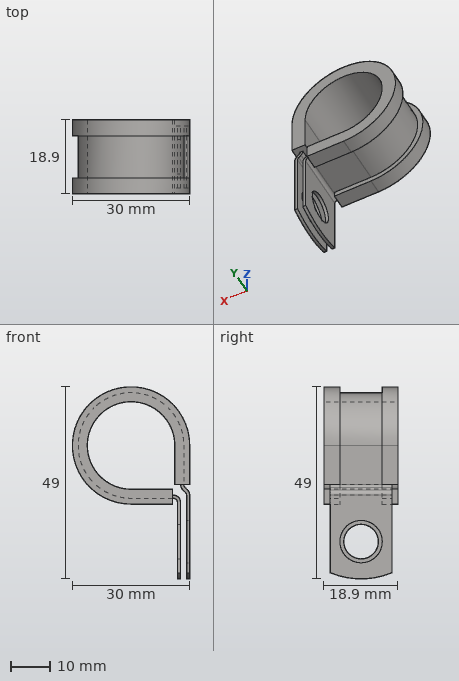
import cadquery as cq
import math


outer_radius = 14.98
inner_radius = 11.13
cushion_width = 18.92
side_end_z = -10.0
bottom_end_x = 10.6

groove_width = 10.72
strap_outer_radius = 13.48

strap_thickness = 0.85
strap_inner_radius = strap_outer_radius - strap_thickness
tab_width = 15.8
tab_tip_z = -34.04
tab_tip_rise = 1.6
inner_hole_diameter = 8.75
outer_hole_diameter = 10.8
hole_z = -24.5

bend_inner_radius = 1.0
bend_outer_radius = bend_inner_radius + strap_thickness
joggle_angle = math.radians(45)
inner_tab_outer_x = 12.63
outer_tab_outer_x = outer_radius


def extrude_along_y(profile, width):
    """Extrude an XZ profile by the given width, centred on Y = 0."""
    return profile.extrude(width / 2, both=True)


def loop_band(large_radius, small_radius, width):
    """Three-quarter ring with a vertical leg at +X and a horizontal leg at the bottom."""
    diagonal = math.sqrt(0.5)
    profile = (
        cq.Workplane("XZ")
        .moveTo(large_radius, side_end_z)
        .lineTo(large_radius, 0)
        .threePointArc((-large_radius * diagonal, large_radius * diagonal), (0, -large_radius))
        .lineTo(bottom_end_x, -large_radius)
        .lineTo(bottom_end_x, -small_radius)
        .lineTo(0, -small_radius)
        .threePointArc((-small_radius * diagonal, small_radius * diagonal), (small_radius, 0))
        .lineTo(small_radius, side_end_z)
        .close()
    )
    return extrude_along_y(profile, width)


def arc_point(center, radius, angle):
    """Point on a circle in the XZ plane, with the angle measured from +X towards +Z."""
    return (center[0] + radius * math.cos(angle), center[1] + radius * math.sin(angle))


def inner_tab():
    """Tab that turns down from the horizontal leg through a right-angle bend."""
    inner_x = inner_tab_outer_x - strap_thickness
    center = (inner_tab_outer_x - bend_outer_radius, -strap_inner_radius - bend_outer_radius)
    middle = math.radians(45)
    profile = (
        cq.Workplane("XZ")
        .moveTo(bottom_end_x, -strap_inner_radius)
        .lineTo(center[0], -strap_inner_radius)
        .threePointArc(arc_point(center, bend_outer_radius, middle), (inner_tab_outer_x, center[1]))
        .lineTo(inner_tab_outer_x, tab_tip_z)
        .lineTo(inner_x, tab_tip_z)
        .lineTo(inner_x, center[1])
        .threePointArc(arc_point(center, bend_inner_radius, middle), (center[0], -strap_outer_radius))
        .lineTo(bottom_end_x, -strap_outer_radius)
        .close()
    )
    return extrude_along_y(profile, tab_width)


def outer_tab():
    """Tab that steps outwards below the vertical leg through two opposite bends."""
    inner_x = outer_tab_outer_x - strap_thickness
    offset = outer_tab_outer_x - strap_outer_radius
    bend_radii = bend_inner_radius + bend_outer_radius
    slant_run = offset - bend_radii * (1 - math.cos(joggle_angle))
    joggle_height = bend_radii * math.sin(joggle_angle) + slant_run / math.tan(joggle_angle)
    joggle_end_z = side_end_z - joggle_height
    upper_center = (strap_outer_radius + bend_inner_radius, side_end_z)
    lower_center = (outer_tab_outer_x - bend_outer_radius, joggle_end_z)
    upper_end = math.pi + joggle_angle
    upper_middle = math.pi + joggle_angle / 2
    lower_middle = joggle_angle / 2
    profile = (
        cq.Workplane("XZ")
        .moveTo(strap_outer_radius, side_end_z)
        .threePointArc(
            arc_point(upper_center, bend_inner_radius, upper_middle),
            arc_point(upper_center, bend_inner_radius, upper_end),
        )
        .lineTo(*arc_point(lower_center, bend_outer_radius, joggle_angle))
        .threePointArc(
            arc_point(lower_center, bend_outer_radius, lower_middle),
            (outer_tab_outer_x, joggle_end_z),
        )
        .lineTo(outer_tab_outer_x, tab_tip_z)
        .lineTo(inner_x, tab_tip_z)
        .lineTo(inner_x, joggle_end_z)
        .threePointArc(
            arc_point(lower_center, bend_inner_radius, lower_middle),
            arc_point(lower_center, bend_inner_radius, joggle_angle),
        )
        .lineTo(*arc_point(upper_center, bend_outer_radius, upper_end))
        .threePointArc(
            arc_point(upper_center, bend_outer_radius, upper_middle),
            (strap_inner_radius, side_end_z),
        )
        .close()
    )
    return extrude_along_y(profile, tab_width)


def tab_outline(hole_diameter):
    """Block with the rounded tip and bolt hole of a tab, used to trim a bent strap end."""
    half_width = tab_width / 2
    corner_z = tab_tip_z + tab_tip_rise
    return (
        cq.Workplane("YZ")
        .moveTo(-half_width, 0)
        .lineTo(-half_width, corner_z)
        .threePointArc((0, tab_tip_z), (half_width, corner_z))
        .lineTo(half_width, 0)
        .close()
        .moveTo(0, hole_z)
        .circle(hole_diameter / 2)
        .extrude(outer_tab_outer_x)
    )


flanged_loop = loop_band(outer_radius, inner_radius, cushion_width)
groove = loop_band(outer_radius, strap_outer_radius, groove_width)
cushion = flanged_loop.cut(groove)

drilled_inner_tab = inner_tab().intersect(tab_outline(inner_hole_diameter))
drilled_outer_tab = outer_tab().intersect(tab_outline(outer_hole_diameter))
result = cushion.union(drilled_inner_tab).union(drilled_outer_tab)